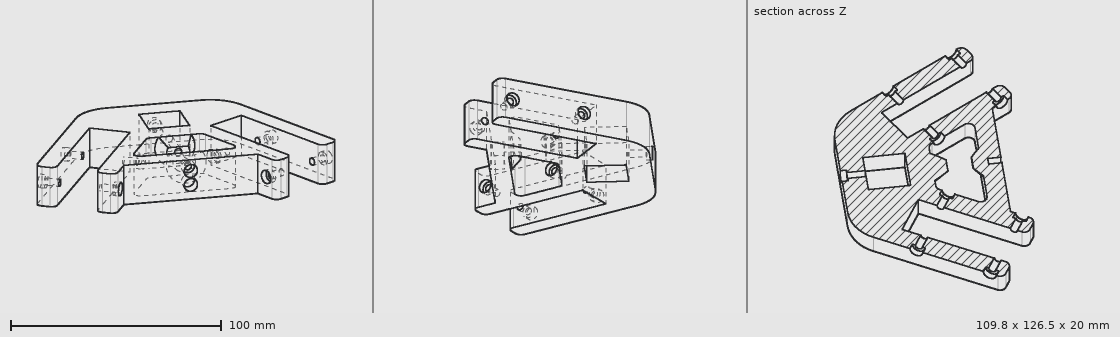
import cadquery as cq
import math


thickness = 20.0
wall = 10.0
outer_window_wall = 11.9
inner_window_wall = 12.0
pocket_length = 23.0
corner_radius = 20.0
small_radius = 3.0

arm_angle = 30
arm_top = 40.7
slot_floor = 20.7
finger_tip = 76.8

screw_diameter = 3.4
head_diameter = 6.5
head_depth = 3.0
screw_places = (32.0, 69.7)

boss_base_radius = 9.7
boss_tip_radius = 5.6
boss_rise = 4.3
roof_drop = 3.0
near_boss_height = 7.0
far_boss_height = 4.0
bore_diameter = 3.4
port_diameter = 6.5
port_depth = 6.3
port_spacing = 7.1

half_thickness = thickness / 2
window_half = thickness / 2
outer_face = -window_half - outer_window_wall
pocket_start = window_half + inner_window_wall
pocket_end = pocket_start + pocket_length
web_face = pocket_end + wall
outer_finger_low = arm_top - wall
inner_finger_high = outer_finger_low - thickness
arm_bottom = inner_finger_high - wall

cos_arm = math.cos(math.radians(arm_angle))
sin_arm = math.sin(math.radians(arm_angle))


def from_arm(along, across):
    """Turn a point of the upper arm into the frame of the symmetry axis."""
    return (along * cos_arm - across * sin_arm, along * sin_arm + across * cos_arm)


def arm_line_at(axial, across):
    """Point where a line parallel to the upper arm reaches a given place on the axis."""
    along = (axial + across * sin_arm) / cos_arm
    return from_arm(along, across)


def symmetric_prism(upper_points):
    """Full-height prism from the upper half of an outline and its mirror image."""
    points = upper_points + [(x, -y) for x, y in reversed(upper_points)]
    base = cq.Workplane("XY").workplane(offset=-half_thickness)
    return base.polyline(points).close().extrude(thickness)


def on_both_arms(solid):
    upper = solid.rotate((0, 0, 0), (0, 0, 1), arm_angle)
    return upper.union(upper.mirror("XZ"))


def finger(low_side):
    length = finger_tip - slot_floor
    bar = cq.Workplane("XY").box(length, wall, thickness, centered=(False, False, True))
    return bar.edges("|Z and >X").fillet(small_radius).translate((slot_floor, low_side, 0))


def rod(start, direction, diameter, length):
    cylinder = cq.Solid.makeCylinder(diameter / 2, length, cq.Vector(*start), cq.Vector(*direction))
    return cq.Workplane(cylinder)


def boss(wall_place, height, side):
    """Conical boss on a pocket wall, pointing along the axis, with a sloped flat roof."""
    base = cq.Vector(wall_place, 0, boss_rise)
    direction = cq.Vector(side, 0, 0)
    cone = cq.Solid.makeCone(boss_base_radius, boss_tip_radius, height, base, direction)
    tip_place = wall_place + side * height
    under_roof = [
        (wall_place, -half_thickness),
        (wall_place, half_thickness),
        (tip_place, half_thickness - roof_drop),
        (tip_place, -half_thickness),
    ]
    envelope = cq.Workplane("XZ").polyline(under_roof).close().extrude(boss_base_radius, both=True)
    return envelope.intersect(cq.Workplane(cone))


def arm_screw(along):
    """Screw hole through both fingers of an arm, with a head recess on each far side."""
    hole = rod((along, arm_top, 0), (0, -1, 0), screw_diameter, arm_top - arm_bottom)
    outer_recess = rod((along, arm_top, 0), (0, -1, 0), head_diameter, head_depth)
    inner_recess = rod((along, arm_bottom, 0), (0, 1, 0), head_diameter, head_depth)
    return hole.union(outer_recess).union(inner_recess)


core = symmetric_prism([
    arm_line_at(outer_face, arm_top),
    from_arm(slot_floor, arm_top),
    from_arm(slot_floor, arm_bottom),
    arm_line_at(web_face, arm_bottom),
]).edges("|Z and <X").fillet(corner_radius)
body = core.union(on_both_arms(finger(outer_finger_low)))
body = body.union(on_both_arms(finger(arm_bottom)))

window = cq.Workplane("XY").box(2 * window_half, 2 * window_half, thickness)
pocket = symmetric_prism([
    arm_line_at(pocket_start, arm_bottom),
    arm_line_at(pocket_end, arm_bottom),
]).edges("|Z").fillet(small_radius)
body = body.cut(window).cut(pocket)

body = body.union(boss(pocket_start, near_boss_height, 1))
body = body.union(boss(pocket_end, far_boss_height, -1))

for place in screw_places:
    body = body.cut(on_both_arms(arm_screw(place)))

body = body.cut(rod((outer_face, 0, 0), (1, 0, 0), screw_diameter, outer_window_wall))
body = body.cut(rod((outer_face, 0, 0), (1, 0, 0), head_diameter, head_depth))

for port_height in (boss_rise, boss_rise - port_spacing):
    body = body.cut(rod((web_face, 0, port_height), (-1, 0, 0), port_diameter, port_depth))
body = body.cut(rod((web_face, 0, boss_rise), (-1, 0, 0), bore_diameter, web_face - window_half))

result = body.rotate((0, 0, 0), (0, 0, 1), -arm_angle)